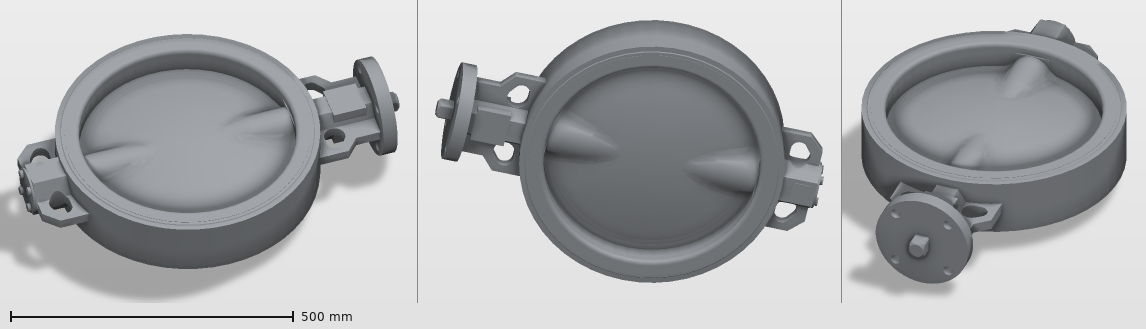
import cadquery as cq
import math


RING_DIAMETER = 470.0
RING_RADIUS = RING_DIAMETER / 2
RING_HALF_HEIGHT = 51.5
LINER_RADIUS = 225.5
LINER_BEVEL = 1.5
LINER_STEP_RADIUS = 218.5
LINER_STEP_HEIGHT = 53.0
LINER_HALF_HEIGHT = 53.5
BORE_RADIUS = 192.0
BORE_ROUND = 8.0
WALL_RADIUS = (RING_RADIUS + BORE_RADIUS) / 2

RIM_HALF_THICKNESS = 6.0
DOME_RADIUS = 177.0
DOME_HEIGHT = 35.5
HUB_RADIUS = 37.0
HUB_TAPER_START = 113.0
HUB_TIP = 58.0
DISC_FILLET = 28.0
EDGE_MARGIN = 1.0
SEAT_Y = 188.5
SEAT_HALF_WIDTH = 34.0

PLATE_THICKNESS = 19.0
PLATE_WIDTH = 191.5
PLATE_HALF_WIDTH = PLATE_WIDTH / 2
PLATE_END_HALF_WIDTH = 70.0
PLATE_TOP_SHOULDER = 269.0
PLATE_TOP_CORNER = 291.0
PLATE_BOTTOM_SHOULDER = -268.0
PLATE_BOTTOM = -294.0

SLOT_Y = 256.0
SLOT_INNER_X = 54.0
SLOT_INNER_RADIUS = 19.0
SLOT_OUTER_RADIUS = 14.5
SLOT_OUTER_X = 67.0

TOP_NECK_FLATS = 69.5
BOTTOM_NECK_FLATS = 82.0
BOTTOM_NECK_END = -296.0

FLANGE_DIAMETER = 175.0
FLANGE_THICKNESS = 26.0
FLANGE_FACE = 362.5
FLANGE_HOLE_RADIUS = 9.0
FLANGE_BOLT_CIRCLE_DIAMETER = 140.0
STEM_WIDTH = 28.0
STEM_BAR_DIAMETER = 35.5
STEM_CHAMFER = 5.0
STEM_END = 390.5

NAME_PLATE_WIDTH = 61.0
NAME_PLATE_START = 262.5
NAME_PLATE_END = 323.0
NAME_PLATE_INNER_Z = 17.5
NAME_PLATE_OUTER_Z = 37.0
PAD_WIDTH = 33.0
PAD_HEIGHT = 1.5
PAD_Y = -269.5

COVER_RADIUS = 41.0
COVER_FACE = -300.0
SCREW_SPACING = 42.5
SCREW_RADIUS = 8.0
VALVE_LENGTH = 696.0
VALVE_BOTTOM = STEM_END - VALVE_LENGTH


def box(x_range, y_range, z_range):
    """Box given by its start and end along each axis."""
    size = [end - start for start, end in (x_range, y_range, z_range)]
    corner = (x_range[0], y_range[0], z_range[0])
    return cq.Workplane("XY").box(*size, centered=False).translate(corner)


def section_at(y):
    """Workplane across the shaft axis, facing +Y, with its second axis along Z."""
    return cq.Workplane(cq.Plane(origin=(0, y, 0), xDir=(-1, 0, 0), normal=(0, 1, 0)))


def shaft_cylinder(radius, start, end):
    return section_at(start).circle(radius).extrude(end - start)


def hexagon_neck(flats, start, end):
    """Hexagonal bar along Y with two of its flats facing +Z and -Z."""
    return section_at(start).polygon(6, flats / math.cos(math.pi / 6)).extrude(end - start)


def ring_body():
    """Ring solid out to its full radius, with the stepped liner face at both ends, not yet bored."""
    upper_side = [
        (RING_RADIUS, RING_HALF_HEIGHT),
        (LINER_RADIUS, RING_HALF_HEIGHT),
        (LINER_RADIUS - LINER_BEVEL, LINER_STEP_HEIGHT),
        (LINER_STEP_RADIUS, LINER_STEP_HEIGHT),
        (LINER_STEP_RADIUS, LINER_HALF_HEIGHT),
        (0, LINER_HALF_HEIGHT),
    ]
    lower_side = [(r, -z) for r, z in reversed(upper_side)]
    profile = cq.Workplane("XZ").polyline(upper_side + lower_side).close()
    return profile.revolve(360, (0, 0, 0), (0, 1, 0))


def bore_space():
    """Space inside the liner: a bore flaring out at both ends, with flats where the shaft enters."""
    space = (
        cq.Workplane("XZ")
        .moveTo(0, 0)
        .lineTo(BORE_RADIUS, 0)
        .lineTo(BORE_RADIUS, LINER_HALF_HEIGHT - BORE_ROUND)
        .radiusArc((BORE_RADIUS + BORE_ROUND, LINER_HALF_HEIGHT), BORE_ROUND)
        .lineTo(0, LINER_HALF_HEIGHT)
        .close()
        .revolve(360, (0, 0, 0), (0, 1, 0))
    )
    space = space.union(space.mirror("XY"))
    for start, end in ((SEAT_Y, RING_RADIUS), (-RING_RADIUS, -SEAT_Y)):
        seat = box((-SEAT_HALF_WIDTH, SEAT_HALF_WIDTH), (start, end), (-HUB_RADIUS, HUB_RADIUS))
        space = space.cut(seat)
    return space


def disc():
    """Domed disc with a tapered shaft hub at each end, blended together and filling the bore."""
    dome_depth = DOME_HEIGHT - RIM_HALF_THICKNESS
    sphere_radius = (DOME_RADIUS**2 + dome_depth**2) / (2 * dome_depth)

    def dome_point(radius):
        return (radius, DOME_HEIGHT - sphere_radius + math.sqrt(sphere_radius**2 - radius**2))

    hub_tip_radius = dome_point(HUB_TIP)[1]
    half = (
        cq.Workplane("XZ")
        .moveTo(0, 0)
        .lineTo(WALL_RADIUS, 0)
        .lineTo(WALL_RADIUS, RIM_HALF_THICKNESS)
        .lineTo(DOME_RADIUS, RIM_HALF_THICKNESS)
        .threePointArc(dome_point(DOME_RADIUS / 2), (0, DOME_HEIGHT))
        .close()
        .revolve(360, (0, 0, 0), (0, 1, 0))
    )
    hub = (
        cq.Workplane("XY")
        .polyline([
            (0, 0),
            (hub_tip_radius, HUB_TIP),
            (HUB_RADIUS, HUB_TAPER_START),
            (HUB_RADIUS, WALL_RADIUS),
            (0, WALL_RADIUS),
        ])
        .close()
        .revolve(360, (0, 0, 0), (0, 1, 0))
    )
    half = half.union(hub).union(hub.mirror("XZ"))
    span = (-WALL_RADIUS, WALL_RADIUS)
    half = half.intersect(box(span, span, (0, WALL_RADIUS)))
    reach = WALL_RADIUS - EDGE_MARGIN
    corners = cq.selectors.BoxSelector(
        (-reach, -reach, RIM_HALF_THICKNESS - EDGE_MARGIN),
        (reach, reach, DOME_HEIGHT - EDGE_MARGIN),
        boundingbox=True,
    )
    half = half.edges(corners).fillet(DISC_FILLET)
    return half.union(half.mirror("XY"))


def lug_plate():
    """Flat plate with cut-off corners, widest beside the ring and narrower towards both ends."""
    right_side = [
        (PLATE_END_HALF_WIDTH, PLATE_BOTTOM),
        (PLATE_HALF_WIDTH, PLATE_BOTTOM_SHOULDER),
        (PLATE_HALF_WIDTH, PLATE_TOP_SHOULDER),
        (PLATE_END_HALF_WIDTH, PLATE_TOP_CORNER),
        (PLATE_END_HALF_WIDTH, FLANGE_FACE - FLANGE_THICKNESS),
    ]
    left_side = [(-x, y) for x, y in reversed(right_side)]
    outline = cq.Workplane("XY").polyline(right_side + left_side).close()
    return outline.extrude(PLATE_THICKNESS / 2, both=True)


def point_on_circle(x, y, radius, angle):
    return (x + radius * math.cos(angle), y + radius * math.sin(angle))


def lug_slot():
    """Cutter for the upper right slot, with the side nearest the ring parallel to X."""
    outer_y = SLOT_Y - SLOT_INNER_RADIUS + SLOT_OUTER_RADIUS
    dx = SLOT_OUTER_X - SLOT_INNER_X
    dy = outer_y - SLOT_Y
    distance = math.hypot(dx, dy)
    far = math.atan2(dy, dx) + math.acos((SLOT_INNER_RADIUS - SLOT_OUTER_RADIUS) / distance)
    near = -math.pi / 2
    inner_middle = (far + near) / 2 + math.pi
    outer_middle = (far + near) / 2

    def on_inner(angle):
        return point_on_circle(SLOT_INNER_X, SLOT_Y, SLOT_INNER_RADIUS, angle)

    def on_outer(angle):
        return point_on_circle(SLOT_OUTER_X, outer_y, SLOT_OUTER_RADIUS, angle)

    return (
        cq.Workplane("XY")
        .moveTo(*on_inner(far))
        .threePointArc(on_inner(inner_middle), on_inner(near))
        .lineTo(*on_outer(near))
        .threePointArc(on_outer(outer_middle), on_outer(far))
        .close()
        .extrude(RING_HALF_HEIGHT, both=True)
    )


def lug_slots():
    """All four slot cutters."""
    right = lug_slot().union(lug_slot().mirror("XZ"))
    return right.union(right.mirror("YZ"))


def name_plates():
    half_width = NAME_PLATE_WIDTH / 2
    plate = box(
        (-half_width, half_width),
        (NAME_PLATE_START, NAME_PLATE_END),
        (NAME_PLATE_INNER_Z, NAME_PLATE_OUTER_Z),
    )
    return plate.union(plate.mirror("XY"))


def bottom_pad():
    neck_face = -BOTTOM_NECK_FLATS / 2
    half_width = PAD_WIDTH / 2
    return box(
        (-half_width, half_width),
        (PAD_Y - half_width, PAD_Y + half_width),
        (neck_face - PAD_HEIGHT, 0),
    )


def actuator_flange():
    """Round flange with four through holes placed diagonally."""
    pitch = FLANGE_BOLT_CIRCLE_DIAMETER / math.sqrt(2)
    return (
        section_at(FLANGE_FACE - FLANGE_THICKNESS)
        .circle(FLANGE_DIAMETER / 2)
        .rect(pitch, pitch, forConstruction=True)
        .vertices()
        .circle(FLANGE_HOLE_RADIUS)
        .extrude(FLANGE_THICKNESS)
    )


def stem():
    """Square stem end, its corners turned down to a round bar with a chamfered tip."""
    length = STEM_END - FLANGE_FACE + FLANGE_THICKNESS
    base = STEM_END - length
    bar = shaft_cylinder(STEM_BAR_DIAMETER / 2, base, STEM_END).faces(">Y").chamfer(STEM_CHAMFER)
    return bar.intersect(section_at(base).rect(STEM_WIDTH, STEM_WIDTH).extrude(length))


def bottom_cover():
    """Round cover on the end of the bottom neck, with four plain screw heads."""
    cover = shaft_cylinder(COVER_RADIUS, COVER_FACE, BOTTOM_NECK_END)
    screws = (
        section_at(VALVE_BOTTOM)
        .rect(SCREW_SPACING, SCREW_SPACING, forConstruction=True)
        .vertices()
        .circle(SCREW_RADIUS)
        .extrude(COVER_FACE - VALVE_BOTTOM)
    )
    return cover.union(screws)


necks = (
    lug_plate()
    .union(hexagon_neck(TOP_NECK_FLATS, 0, FLANGE_FACE - FLANGE_THICKNESS))
    .union(hexagon_neck(BOTTOM_NECK_FLATS, BOTTOM_NECK_END, 0))
    .cut(lug_slots())
)

body = (
    ring_body()
    .union(necks)
    .cut(bore_space())
    .union(name_plates())
    .union(bottom_pad())
    .union(actuator_flange())
    .union(stem())
    .union(bottom_cover())
)

result = body.union(disc())